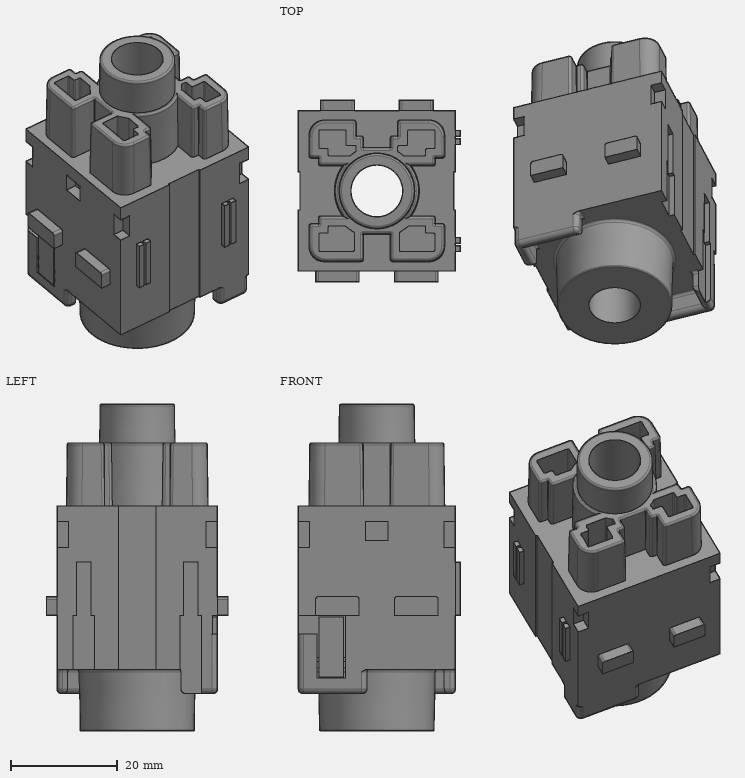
import cadquery as cq
import math

CORNER_TOLERANCE = 0.01

BODY_X = 29.4
BODY_Y = 30.0
BODY_HEIGHT = 30.55
HALF_X = BODY_X / 2
HALF_Y = BODY_Y / 2

COVE_RADIUS = 0.5

CHANNEL_WIDTH = 7.1
CHANNEL_DEPTH = 0.3

NOTCH_SIZE = 2.1
NOTCH_TOP = -2.95
NOTCH_HEIGHT = 4.8
POCKET_WIDTH = 4.15
POCKET_HEIGHT = 3.55

LUG_SPACING = 14.75
LUG_BOTTOM = -20.45
LUG_HEIGHT = 3.5
LUG_REACH = 2.0
LUG_ROUND = 0.5
FRONT_LUG_WIDTH = 8.15
BACK_LUG_WIDTH = 6.4

GUIDE_Y = 10.0
GUIDE_TOP = -10.5
GROOVE_WIDTH = 2.65
GROOVE_DEPTH = 1.0
WIDE_GROOVE_WIDTH = 4.1
RIB_WIDTH = 2.65
RIB_SLOT = 0.4
RIB_REACH = 0.9

FOOT_BOTTOM = -35.1
FOOT_INNER_X = 1.85
FOOT_INNER_Y = 8.17
FOOT_WALL_X = 2.1
FOOT_WALL_Y = 1.95
FOOT_ROUND = 1.0
FOOT_RIM_ROUND = 0.9

RELIEF_HEIGHT = 3.5
RELIEF_BOTTOM = LUG_BOTTOM - RELIEF_HEIGHT
WINDOW_DEPTH = 0.97
WINDOW_LEFT = -11.2
WINDOW_WIDTH = 5.35
WINDOW_HEIGHT = 11.75
PANEL_GAP = 0.35

BRIDGE_HEIGHTS = (1.15, 3.15)
BRIDGE_WIDTH = 0.75
BRIDGE_SETBACK = 0.2

BORE_RADIUS = 4.82
TOWER_HEIGHT = 11.8
TUBE_TOP = 19.05
TUBE_BASE_RADIUS = 7.25
TUBE_TIP_RADIUS = 7.0
HUB_RADIUS = 7.95
COLLAR_BOTTOM = -42.05
COLLAR_TOP_RADIUS = 10.95
COLLAR_TIP_RADIUS = 10.7
COLLAR_ROUND = 0.2
RIM_ROUND = 0.4

TOWER_X = 12.7
TOWER_Y = 13.25
TOWER_CORNER = 2.9
TOWER_EDGE_ROUND = 0.5
TOWER_DRAFT = 0.75
TOWER_STEP_X = 10.95
TOWER_STEP_Y = 6.1
TOWER_INNER_Y = 4.66
WEB_X = 2.5
WEB_Y = 8.15
KEY_STEP_X = 3.85
KEY_STEP_Y = 10.3

CAVITY_X = 10.85
CAVITY_STEP_X = 9.1
CAVITY_STEP_Y = 7.9
CAVITY_INNER_Y = 6.54
CAVITY_ROUND = 0.25
KEYED_CAVITY_OUTER_Y = 11.4
KEYED_CAVITY_STEP_X = 5.75
KEYED_CAVITY_STEP_Y = 8.5
KEYED_CAVITY_INNER_X = 3.9
KEYED_CAVITY_BEVEL_X = 1.15
KEYED_CAVITY_BEVEL_Y = 0.85
PLAIN_CAVITY_OUTER_Y = 11.3
PLAIN_CAVITY_INNER_X = 4.2
PLAIN_CAVITY_BEVEL_X = 1.8
PLAIN_CAVITY_BEVEL_Y = 1.25


def box(x_min, x_max, y_min, y_max, z_min, z_max):
    size = (x_max - x_min, y_max - y_min, z_max - z_min)
    return cq.Workplane().box(*size, centered=False).translate((x_min, y_min, z_min))


def cone(base_radius, tip_radius, z_base, z_tip):
    height = abs(z_tip - z_base)
    direction = cq.Vector(0, 0, math.copysign(1, z_tip - z_base))
    solid = cq.Solid.makeCone(base_radius, tip_radius, height, cq.Vector(0, 0, z_base), direction)
    return cq.Workplane(solid)


def mirrored(points):
    """Close an outline that is symmetric about the Y axis, given its +X half."""
    return points + [(-x, y) for x, y in reversed(points)]


def round_upright_edges(solid, corners, radius):
    """Round the upright edges that start at the given corners of the solid's base outline."""
    chosen = []
    for edge in solid.edges("not(#Z)").vals():
        foot = min((edge.startPoint(), edge.endPoint()), key=lambda point: point.z)
        if any(math.dist((foot.x, foot.y), corner) < CORNER_TOLERANCE for corner in corners):
            chosen.append(edge)
    return solid.newObject(chosen).fillet(radius)


def make_body():
    body = box(-HALF_X, HALF_X, -HALF_Y, HALF_Y, -BODY_HEIGHT, 0)
    half_channel = CHANNEL_WIDTH / 2
    for x in (-HALF_X, HALF_X):
        channel = box(x - CHANNEL_DEPTH, x + CHANNEL_DEPTH, -half_channel, half_channel, -BODY_HEIGHT, 0)
        body = body.cut(channel)
    return body


def make_foot():
    """L-shaped foot at the -X -Y corner, rising beside the body up to the relief."""
    inner_x = FOOT_WALL_X - HALF_X
    inner_y = FOOT_WALL_Y - HALF_Y
    outline = [
        (-HALF_X, -HALF_Y),
        (-FOOT_INNER_X, -HALF_Y),
        (-FOOT_INNER_X, inner_y),
        (inner_x, inner_y),
        (inner_x, -FOOT_INNER_Y),
        (-HALF_X, -FOOT_INNER_Y),
    ]
    rounded_corners = [outline[0], outline[1], outline[5]]
    foot = cq.Workplane().polyline(outline).close().extrude(RELIEF_BOTTOM - FOOT_BOTTOM)
    foot = round_upright_edges(foot, rounded_corners, FOOT_ROUND)
    foot = foot.faces("<Z").edges().fillet(FOOT_RIM_ROUND)
    return foot.translate((0, 0, FOOT_BOTTOM))


def add_underside(body):
    """Add the feet and the collar, with coves at their roots trimmed to the body's footprint."""
    foot = make_foot()
    collar = cone(COLLAR_TOP_RADIUS, COLLAR_TIP_RADIUS, -BODY_HEIGHT, COLLAR_BOTTOM)
    collar = collar.faces("<Z").edges().fillet(COLLAR_ROUND)
    slab = box(-BODY_X, BODY_X, -BODY_Y, BODY_Y, -BODY_HEIGHT, RELIEF_BOTTOM)
    slab = slab.union(foot).union(foot.rotate((0, 0, 0), (0, 0, 1), 180)).union(collar)
    roots = [
        edge
        for face in slab.faces("|Z").vals()
        for wire in face.innerWires()
        for edge in wire.Edges()
    ]
    coved = slab.newObject(roots).fillet(COVE_RADIUS)
    footprint = box(-HALF_X, HALF_X, -HALF_Y, HALF_Y, COLLAR_BOTTOM, -BODY_HEIGHT)
    body = body.union(coved.intersect(footprint))
    corner_x = FOOT_ROUND - HALF_X
    corner_y = FOOT_ROUND - HALF_Y
    sharp_corner = box(-HALF_X, corner_x, -HALF_Y, corner_y, FOOT_BOTTOM, RELIEF_BOTTOM)
    return body.cut(sharp_corner).union(foot)


def cut_notches(body):
    bottom = NOTCH_TOP - NOTCH_HEIGHT
    for side_x in (-1, 1):
        for side_y in (-1, 1):
            notch = cq.Workplane().box(2 * NOTCH_SIZE, 2 * NOTCH_SIZE, NOTCH_HEIGHT)
            centre = (side_x * HALF_X, side_y * HALF_Y, bottom + NOTCH_HEIGHT / 2)
            body = body.cut(notch.translate(centre))
    pocket = box(
        -POCKET_WIDTH / 2, POCKET_WIDTH / 2,
        -HALF_Y, NOTCH_SIZE - HALF_Y,
        NOTCH_TOP - POCKET_HEIGHT, NOTCH_TOP,
    )
    return body.cut(pocket)


def add_lugs(body):
    for side_y, width in ((-1, FRONT_LUG_WIDTH), (1, BACK_LUG_WIDTH)):
        for side_x in (-1, 1):
            lug = cq.Workplane().box(width, 2 * LUG_REACH, LUG_HEIGHT)
            lug = lug.edges("|Y and >Z").fillet(LUG_ROUND)
            centre = (side_x * LUG_SPACING / 2, side_y * HALF_Y, LUG_BOTTOM + LUG_HEIGHT / 2)
            body = body.union(lug.translate(centre))
    return body


def add_guides(body):
    for y in (-GUIDE_Y, GUIDE_Y):
        narrow = GROOVE_WIDTH / 2
        wide = WIDE_GROOVE_WIDTH / 2
        body = body.cut(
            box(-HALF_X, GROOVE_DEPTH - HALF_X, y - narrow, y + narrow, LUG_BOTTOM, GUIDE_TOP)
        )
        body = body.cut(
            box(-HALF_X, GROOVE_DEPTH - HALF_X, y - wide, y + wide, FOOT_BOTTOM, LUG_BOTTOM)
        )
        rib = box(HALF_X, HALF_X + RIB_REACH, y - RIB_WIDTH / 2, y + RIB_WIDTH / 2, LUG_BOTTOM, GUIDE_TOP)
        slot = box(HALF_X, HALF_X + RIB_REACH, y - RIB_SLOT / 2, y + RIB_SLOT / 2, LUG_BOTTOM, GUIDE_TOP)
        body = body.union(rib.cut(slot))
    return body


def cut_latch_window(body):
    floor = WINDOW_DEPTH - HALF_Y
    right = WINDOW_LEFT + WINDOW_WIDTH
    bottom = LUG_BOTTOM - WINDOW_HEIGHT
    relief = box(-HALF_X, WINDOW_LEFT, -HALF_Y, floor, RELIEF_BOTTOM, LUG_BOTTOM)
    window = box(WINDOW_LEFT, right, -HALF_Y, floor, bottom, LUG_BOTTOM)
    panel = box(
        WINDOW_LEFT + PANEL_GAP, right - PANEL_GAP,
        -HALF_Y, floor,
        bottom + PANEL_GAP / 2, LUG_BOTTOM - PANEL_GAP,
    )
    bridge_face = BRIDGE_SETBACK - HALF_Y
    kept = panel
    for height in BRIDGE_HEIGHTS:
        bridge_bottom = bottom + height
        kept = kept.union(
            box(WINDOW_LEFT, right, bridge_face, floor, bridge_bottom, bridge_bottom + BRIDGE_WIDTH)
        )
    return body.cut(relief).cut(window.cut(kept))


def make_tower_pair(half_outline, rounded_corners):
    """Two drafted towers joined by a web; outer corners large, other listed corners small."""
    pair = cq.Workplane().polyline(mirrored(half_outline)).close()
    pair = pair.extrude(TOWER_HEIGHT, taper=TOWER_DRAFT)
    outer_corner = max(half_outline, key=lambda point: (point[0], abs(point[1])))
    pair = round_upright_edges(pair, mirrored([outer_corner]), TOWER_CORNER)
    return round_upright_edges(pair, mirrored(rounded_corners), TOWER_EDGE_ROUND)


def make_towers():
    keyed_half = [
        (WEB_X, WEB_Y),
        (WEB_X, KEY_STEP_Y),
        (KEY_STEP_X, KEY_STEP_Y),
        (KEY_STEP_X, TOWER_Y),
        (TOWER_X, TOWER_Y),
        (TOWER_X, TOWER_STEP_Y),
        (TOWER_STEP_X, TOWER_STEP_Y),
        (TOWER_STEP_X, TOWER_INNER_Y),
    ]
    keyed_rounds = [keyed_half[1], keyed_half[3], keyed_half[5], keyed_half[7]]
    plain_half = [
        (WEB_X, -WEB_Y),
        (WEB_X, -TOWER_Y),
        (TOWER_X, -TOWER_Y),
        (TOWER_X, -TOWER_STEP_Y),
        (TOWER_STEP_X, -TOWER_STEP_Y),
        (TOWER_STEP_X, -TOWER_INNER_Y),
    ]
    plain_rounds = [plain_half[1], plain_half[3], plain_half[5]]
    hub_taper = TOWER_HEIGHT * math.tan(math.radians(TOWER_DRAFT))
    towers = cone(HUB_RADIUS, HUB_RADIUS - hub_taper, 0, TOWER_HEIGHT)
    towers = towers.union(make_tower_pair(keyed_half, keyed_rounds))
    towers = towers.union(make_tower_pair(plain_half, plain_rounds))
    return towers.faces(">Z").edges().fillet(RIM_ROUND)


def cut_cavities(towers):
    keyed = [
        (CAVITY_X, KEYED_CAVITY_OUTER_Y),
        (KEYED_CAVITY_STEP_X, KEYED_CAVITY_OUTER_Y),
        (KEYED_CAVITY_STEP_X, KEYED_CAVITY_STEP_Y),
        (KEYED_CAVITY_INNER_X, KEYED_CAVITY_STEP_Y),
        (KEYED_CAVITY_INNER_X, CAVITY_INNER_Y + KEYED_CAVITY_BEVEL_Y),
        (KEYED_CAVITY_INNER_X + KEYED_CAVITY_BEVEL_X, CAVITY_INNER_Y),
        (CAVITY_STEP_X, CAVITY_INNER_Y),
        (CAVITY_STEP_X, CAVITY_STEP_Y),
        (CAVITY_X, CAVITY_STEP_Y),
    ]
    plain = [
        (CAVITY_X, -PLAIN_CAVITY_OUTER_Y),
        (PLAIN_CAVITY_INNER_X, -PLAIN_CAVITY_OUTER_Y),
        (PLAIN_CAVITY_INNER_X, -CAVITY_INNER_Y - PLAIN_CAVITY_BEVEL_Y),
        (PLAIN_CAVITY_INNER_X + PLAIN_CAVITY_BEVEL_X, -CAVITY_INNER_Y),
        (CAVITY_STEP_X, -CAVITY_INNER_Y),
        (CAVITY_STEP_X, -CAVITY_STEP_Y),
        (CAVITY_X, -CAVITY_STEP_Y),
    ]
    for outline in (keyed, plain):
        cavity = cq.Workplane().polyline(outline).close().extrude(TOWER_HEIGHT)
        cavity = cavity.edges("|Z").fillet(CAVITY_ROUND)
        towers = towers.cut(cavity).cut(cavity.mirror("YZ"))
    return towers


def build():
    body = add_underside(make_body())
    body = add_lugs(add_guides(cut_latch_window(cut_notches(body))))
    tube = cone(TUBE_BASE_RADIUS, TUBE_TIP_RADIUS, 0, TUBE_TOP)
    tube = tube.faces(">Z").edges().fillet(RIM_ROUND)
    part = body.union(cut_cavities(make_towers())).union(tube)
    bore = cq.Workplane().circle(BORE_RADIUS).extrude(TUBE_TOP - COLLAR_BOTTOM)
    return part.cut(bore.translate((0, 0, COLLAR_BOTTOM)))


result = build()